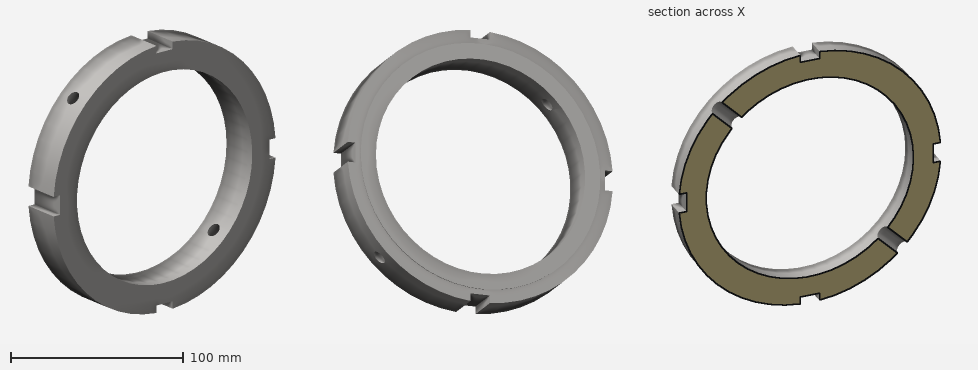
import cadquery as cq
import math

overall_size = 164.5
ring_width = 24.0
bore_diameter = 130.0
face_diameter = 149.0
face_height = 0.5
slot_width = 12.0
slot_floor_distance = 77.7
slot_count = 4
pin_hole_diameter = 8.4
pin_hole_angles = (135, 315)

outer_radius = math.hypot(overall_size / 2, slot_width / 2)
face_x = -ring_width / 2
shoulder_x = face_x + face_height


def cylinder_along_x(diameter, start_x, length):
    return cq.Workplane("YZ").workplane(offset=start_x).circle(diameter / 2).extrude(length)


def make_ring():
    body = cylinder_along_x(2 * outer_radius, shoulder_x, ring_width - face_height)
    raised_face = cylinder_along_x(face_diameter, face_x, ring_width)
    bore = cylinder_along_x(bore_diameter, face_x, ring_width)
    return body.union(raised_face).cut(bore)


def make_slot(angle):
    """Box running across the full ring width, open at the rim."""
    slot = cq.Workplane("XY").box(ring_width, outer_radius, slot_width)
    slot = slot.translate((0, slot_floor_distance + outer_radius / 2, 0))
    return slot.rotate((0, 0, 0), (1, 0, 0), angle)


def make_pin_hole(angle):
    """Radial cylinder from the ring axis out to the rim."""
    hole = cq.Workplane("XZ").circle(pin_hole_diameter / 2).extrude(-outer_radius)
    return hole.rotate((0, 0, 0), (1, 0, 0), angle)


result = make_ring()
for index in range(slot_count):
    result = result.cut(make_slot(index * 360 / slot_count))
for angle in pin_hole_angles:
    result = result.cut(make_pin_hole(angle))